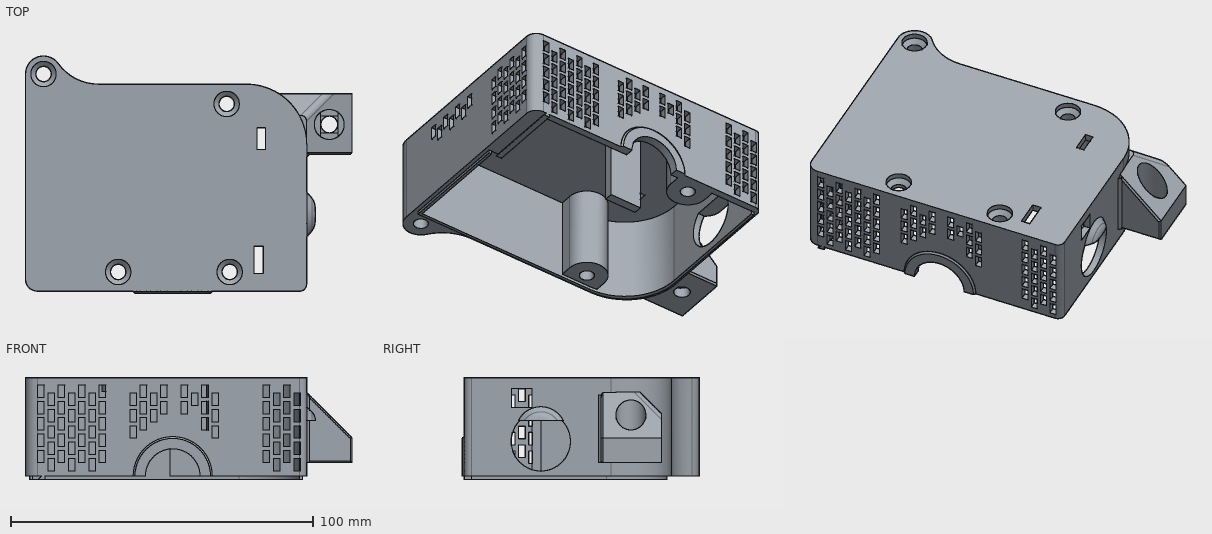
import cadquery as cq
import math

CASE_WIDTH = 93.1
CASE_DEPTH = 68.6
CASE_HEIGHT = 32.6
WALL = 2.4
FRONT_LEFT_RADIUS = 4.0
FRONT_RIGHT_RADIUS = 2.4
BACK_RIGHT_RADIUS = 20.0

EAR_RADIUS = 6.0
EAR_Y = 71.9
EAR_BLEND_X = 24.1

LIP_HEIGHT = 1.15
LIP_INSET = 1.4
LEFT_LIP_START = 27.0
RIB_RIGHT = 6.4
RIB_TOP_WIDTH = 1.1
RIB_SHELF_HEIGHT = 1.5

FRONT_LEFT_SCREW = (30.7, 6.4)
FRONT_RIGHT_SCREW = (67.6, 6.4)
BACK_SCREW = (66.6, 62.0)
EAR_SCREW = (EAR_RADIUS, EAR_Y)
SCREW_RADIUS = 2.5
HEAD_RADIUS = 4.2
HEAD_DEPTH = 1.8
CONE_ANGLE = 40
CONE_DEPTH = (HEAD_RADIUS - SCREW_RADIUS) * math.tan(math.radians(CONE_ANGLE))
POST_RADIUS = 7.0
BOSS_RADIUS = 5.4
BOSS_BOTTOM_Z = 28.0

TOP_SLOTS = [(78.05, 50.5, 2.7, 7.1), (77.2, 10.4, 3.0, 8.9)]

VENT_PITCH = 3.39
VENT_WIDTH = 2.15
VENT_HEIGHT = 4.1
FRONT_VENT_X = 5.15
FRONT_VENT_TOP_Z = 28.1
FRONT_ROW_PITCH = 5.4
FRONT_COLUMNS = {
    0: 5, 1: 5, 2: 5, 3: 5, 4: 5, 5: 5, 6: 5,
    9: 3, 10: 3, 11: 2, 12: 2, 14: 2, 15: 1, 16: 3, 17: 3,
    22: 5, 23: 5, 24: 5, 25: 5,
}
LEFT_VENT_Y = 5.6
LEFT_VENT_TOP_Z = 26.8
LEFT_ROW_PITCH = 6.18
LEFT_ODD_DROP = 2.0
LEFT_ROWS = 4
LEFT_FRONT_COLUMNS = range(0, 6)
LEFT_BACK_COLUMNS = range(9, 16)
LEFT_BACK_TOP_Z = 26.1
LEFT_BACK_DROP = 2.5
LEFT_BACK_HEIGHT = 4.8

ARCH_X = 48.75
ARCH_RADIUS = 9.05
COLLAR_RADIUS = 13.1
COLLAR_HEIGHT = 0.69
COLLAR_CHAMFER = 0.6

INNER_POST_X = 47.9
INNER_POST_Y = 22.5
INNER_POST_WIDTH = 12.0
INNER_POST_THICKNESS = 3.0

HOOD_Y = 25.4
HOOD_Z = 18.4
HOOD_AXIS_Z = 14.7
HOOD_BASE_RADIUS = 8.3
HOOD_LENGTH = 2.9
HOOD_CONE_LENGTH = 1.7
WINDOW_RADIUS = 9.8
WINDOW_Z = 11.5
SMALL_WINDOW_Y = (15.7, 22.4)
SMALL_WINDOW_Z = (22.8, 29.0)

BRACKET_END_X = 108.1
BRACKET_FRONT_Y = 45.3
BRACKET_BACK_Y = 65.4
BRACKET_BOTTOM_Z = 4.45
BRACKET_END_Z = 12.7
BRACKET_BACK_Z = 20.6
BRACKET_TOP_Z = 27.8
BRACKET_CHAMFER = 0.6
BRACKET_FLARE = 0.9
HIP_RADIUS = 2.7
BRACKET_ROOT_X = 74.0
BRACKET_HOLE = (100.55, 55.2)
BRACKET_HOLE_RADIUS = 2.75
BRACKET_BORE_RADIUS = 4.95
BRACKET_SEAT_Z = 9.0
BRIDGE_WIDTH = 5.66
BRIDGE_STEP = 0.3


def box(x_range, y_range, z_range):
    """Box spanning the given (low, high) ranges."""
    return cq.Workplane("XY").box(
        x_range[1] - x_range[0],
        y_range[1] - y_range[0],
        z_range[1] - z_range[0],
        centered=False,
    ).translate((x_range[0], y_range[0], z_range[0]))


def cylinder(center, radius, z_low, z_high):
    """Vertical cylinder about an (x, y) centre."""
    return (
        cq.Workplane("XY", origin=(center[0], center[1], z_low))
        .circle(radius)
        .extrude(z_high - z_low)
    )


def case_body():
    """Solid case, including the ear blended into the back edge."""
    ear_x = EAR_RADIUS
    rise = EAR_Y - CASE_DEPTH
    run = EAR_BLEND_X - ear_x
    blend_radius = (run**2 + rise**2 - EAR_RADIUS**2) / (2 * (EAR_RADIUS + rise))
    blend_y = CASE_DEPTH + blend_radius
    reach = EAR_RADIUS / (EAR_RADIUS + blend_radius)
    touch = (ear_x + run * reach, EAR_Y + (blend_y - EAR_Y) * reach)
    touch_angle = math.atan2(blend_y - EAR_Y, run)
    ear_middle_angle = (math.pi + touch_angle) / 2
    ear_middle = (
        ear_x + EAR_RADIUS * math.cos(ear_middle_angle),
        EAR_Y + EAR_RADIUS * math.sin(ear_middle_angle),
    )
    below_angle = 1.5 * math.pi
    blend_middle_angle = (math.pi + touch_angle + below_angle) / 2
    blend_middle = (
        EAR_BLEND_X + blend_radius * math.cos(blend_middle_angle),
        blend_y + blend_radius * math.sin(blend_middle_angle),
    )
    body = (
        cq.Workplane("XY")
        .moveTo(0, 0)
        .lineTo(CASE_WIDTH, 0)
        .lineTo(CASE_WIDTH, CASE_DEPTH)
        .lineTo(EAR_BLEND_X, CASE_DEPTH)
        .threePointArc(blend_middle, touch)
        .threePointArc(ear_middle, (0, EAR_Y))
        .close()
        .extrude(CASE_HEIGHT)
    )
    corners = [
        (0, 0, FRONT_LEFT_RADIUS),
        (CASE_WIDTH, 0, FRONT_RIGHT_RADIUS),
        (CASE_WIDTH, CASE_DEPTH, BACK_RIGHT_RADIUS),
    ]
    for x, y, radius in corners:
        corner = cq.selectors.NearestToPointSelector((x, y, CASE_HEIGHT / 2))
        body = body.edges(corner).fillet(radius)
    return body


def inset_block(inset, z_low, z_high):
    """Block following the case walls at a given inset, without the ear."""
    block = box((inset, CASE_WIDTH - inset), (inset, CASE_DEPTH - inset), (z_low, z_high))
    return block.edges("|Z and >X and >Y").fillet(BACK_RIGHT_RADIUS)


def lip():
    """Lip standing below the back, right and rear left walls."""
    ring = inset_block(LIP_INSET, -LIP_HEIGHT, WALL)
    ring = ring.cut(inset_block(WALL, -LIP_HEIGHT, WALL))
    ring = ring.cut(box((0, CASE_WIDTH), (0, WALL), (-LIP_HEIGHT, 0)))
    return ring.cut(box((0, CASE_WIDTH / 2), (0, LEFT_LIP_START), (-LIP_HEIGHT, 0)))


def snap_rib():
    """Rib with a 45 degree left flank, carried by a shelf on the left and front walls."""
    top_left = RIB_RIGHT - RIB_TOP_WIDTH
    rib = (
        cq.Workplane("XZ")
        .polyline([
            (top_left - LIP_HEIGHT, -LIP_HEIGHT),
            (RIB_RIGHT, -LIP_HEIGHT),
            (RIB_RIGHT, 0),
            (top_left, 0),
        ])
        .close()
        .extrude(-LEFT_LIP_START)
    )
    shelf = box((WALL / 2, RIB_RIGHT), (WALL / 2, LEFT_LIP_START), (0, RIB_SHELF_HEIGHT))
    return rib.union(shelf)


def screw_post(center, wall_y):
    """Full-height post joined by a web to the front or back wall, whose inner face is at wall_y."""
    x, y = center
    x_range = (x - POST_RADIUS, x + POST_RADIUS)
    post = cylinder(center, POST_RADIUS, 0, CASE_HEIGHT - WALL)
    post = post.intersect(box(x_range, (WALL, CASE_DEPTH - WALL), (0, CASE_HEIGHT)))
    return post.union(box(x_range, sorted((y, wall_y)), (0, CASE_HEIGHT - WALL)))


def screw_hole(center):
    """Through hole with a conical seat below a straight head recess."""
    seat_z = CASE_HEIGHT - HEAD_DEPTH
    profile = [
        (0, 0),
        (-SCREW_RADIUS, 0),
        (-SCREW_RADIUS, seat_z - CONE_DEPTH),
        (-HEAD_RADIUS, seat_z),
        (-HEAD_RADIUS, CASE_HEIGHT),
        (0, CASE_HEIGHT),
    ]
    hole = cq.Workplane("XZ").polyline(profile).close().revolve(360, (0, 0), (0, 1))
    return hole.translate((center[0], center[1], 0))


def front_vents():
    """Vent cutters for the front wall."""
    centers = []
    for column, count in FRONT_COLUMNS.items():
        drop = (column % 2) * FRONT_ROW_PITCH / 2
        for row in range(count):
            centers.append((
                FRONT_VENT_X + column * VENT_PITCH,
                FRONT_VENT_TOP_Z - drop - row * FRONT_ROW_PITCH,
            ))
    return cq.Workplane("XZ").pushPoints(centers).rect(VENT_WIDTH, VENT_HEIGHT).extrude(-WALL)


def left_vents(columns, rows, top_z, odd_drop, height):
    """Vent cutters for one group of columns in the left wall."""
    centers = []
    for step, column in enumerate(columns):
        for row in range(rows):
            centers.append((
                LEFT_VENT_Y + column * VENT_PITCH,
                top_z - (step % 2) * odd_drop - row * LEFT_ROW_PITCH,
            ))
    return cq.Workplane("YZ").pushPoints(centers).rect(VENT_WIDTH, height).extrude(WALL)


def collar():
    """Raised half ring around the cable entry."""
    disc = cq.Workplane("XZ").center(ARCH_X, 0).circle(COLLAR_RADIUS).extrude(COLLAR_HEIGHT)
    disc = disc.faces("<Y").edges().chamfer(COLLAR_CHAMFER)
    return disc.intersect(box((0, CASE_WIDTH), (-COLLAR_HEIGHT, 0), (0, CASE_HEIGHT)))


def hood():
    """45 degree cone with a rounded nose over the round window, flat underneath."""
    neck_radius = HOOD_BASE_RADIUS - HOOD_CONE_LENGTH
    diagonal = math.sqrt(0.5)
    nose_radius = (HOOD_LENGTH - HOOD_CONE_LENGTH) / (1 - diagonal)
    cone = (
        cq.Workplane("XZ")
        .moveTo(-WALL, 0)
        .lineTo(-WALL, HOOD_BASE_RADIUS)
        .lineTo(0, HOOD_BASE_RADIUS)
        .lineTo(HOOD_CONE_LENGTH, neck_radius)
        .tangentArcPoint((HOOD_LENGTH, neck_radius - diagonal * nose_radius), relative=False)
        .lineTo(HOOD_LENGTH, 0)
        .close()
        .revolve(360, (0, 0), (1, 0))
        .translate((CASE_WIDTH, HOOD_Y, HOOD_AXIS_Z))
    )
    above = box(
        (CASE_WIDTH - WALL, CASE_WIDTH + HOOD_LENGTH),
        (HOOD_Y - HOOD_BASE_RADIUS, HOOD_Y + HOOD_BASE_RADIUS),
        (HOOD_Z, CASE_HEIGHT),
    )
    return cone.intersect(above)


def right_windows():
    """Cutters for the round window below the hood and the small rectangular window."""
    wall_x = (CASE_WIDTH - WALL, CASE_WIDTH)
    window = (
        cq.Workplane("YZ", origin=(wall_x[0], HOOD_Y, WINDOW_Z))
        .circle(WINDOW_RADIUS)
        .extrude(WALL)
        .cut(box(wall_x, (0, CASE_DEPTH), (HOOD_Z, CASE_HEIGHT)))
    )
    return window.union(box(wall_x, SMALL_WINDOW_Y, SMALL_WINDOW_Z))


def bracket():
    """Wedge bracket sloping down to the right and to the back, with a stepped bolt seat."""
    top_x = BRACKET_END_X - (BRACKET_TOP_Z - BRACKET_END_Z)
    wedge = (
        cq.Workplane("XZ", origin=(0, BRACKET_BACK_Y, 0))
        .polyline([
            (BRACKET_ROOT_X, BRACKET_BOTTOM_Z),
            (BRACKET_END_X, BRACKET_BOTTOM_Z),
            (BRACKET_END_X, BRACKET_END_Z),
            (top_x, BRACKET_TOP_Z),
            (BRACKET_ROOT_X, BRACKET_TOP_Z),
        ])
        .close()
        .extrude(BRACKET_BACK_Y - BRACKET_FRONT_Y)
    )
    slope_run = BRACKET_TOP_Z - BRACKET_BACK_Z
    back_slope = (
        cq.Workplane("YZ", origin=(BRACKET_ROOT_X, 0, 0))
        .polyline([
            (BRACKET_BACK_Y, BRACKET_BACK_Z),
            (BRACKET_BACK_Y, BRACKET_TOP_Z),
            (BRACKET_BACK_Y - slope_run, BRACKET_TOP_Z),
        ])
        .close()
        .extrude(BRACKET_END_X - BRACKET_ROOT_X)
    )
    wedge = wedge.cut(back_slope)
    hip_x = BRACKET_END_X - (BRACKET_BACK_Z - BRACKET_END_Z) - slope_run / 2
    hip_point = (hip_x, BRACKET_BACK_Y - slope_run / 2, BRACKET_BACK_Z + slope_run / 2)
    wedge = wedge.edges(cq.selectors.NearestToPointSelector(hip_point)).fillet(HIP_RADIUS)
    wedge = wedge.faces("<Y").edges("not <X").chamfer(BRACKET_CHAMFER)

    flare = (
        cq.Workplane("XY", origin=(0, 0, BRACKET_BOTTOM_Z))
        .polyline([
            (CASE_WIDTH, BRACKET_FRONT_Y - BRACKET_FLARE),
            (CASE_WIDTH + BRACKET_FLARE, BRACKET_FRONT_Y),
            (CASE_WIDTH, BRACKET_FRONT_Y + BRACKET_FLARE),
        ])
        .close()
        .extrude(BRACKET_TOP_Z - BRACKET_FLARE - BRACKET_BOTTOM_Z)
    )
    return wedge.union(flare)


def bracket_bolt_hole():
    """Bolt hole whose seat steps down through a slot and a square."""
    x, y = BRACKET_HOLE
    half = BRIDGE_WIDTH / 2
    slot_z = BRACKET_SEAT_Z - BRIDGE_STEP
    square_z = slot_z - BRIDGE_STEP
    bore = cylinder(BRACKET_HOLE, BRACKET_BORE_RADIUS, BRACKET_SEAT_Z, BRACKET_TOP_Z)
    slot = cylinder(BRACKET_HOLE, BRACKET_BORE_RADIUS, slot_z, BRACKET_SEAT_Z).intersect(
        box(
            (x - half, x + half),
            (y - BRACKET_BORE_RADIUS, y + BRACKET_BORE_RADIUS),
            (slot_z, BRACKET_SEAT_Z),
        )
    )
    square = box((x - half, x + half), (y - half, y + half), (square_z, slot_z))
    hole = cylinder(BRACKET_HOLE, BRACKET_HOLE_RADIUS, BRACKET_BOTTOM_Z, square_z)
    return bore.union(slot).union(square).union(hole)


outer = case_body()
cavity = inset_block(WALL, 0, CASE_HEIGHT - WALL)
part = outer.union(bracket()).cut(bracket_bolt_hole())
part = part.cut(cavity).union(lip()).union(snap_rib())

part = part.cut(front_vents())
part = part.cut(left_vents(LEFT_FRONT_COLUMNS, LEFT_ROWS, LEFT_VENT_TOP_Z, LEFT_ODD_DROP, VENT_HEIGHT))
part = part.cut(left_vents(LEFT_BACK_COLUMNS, 1, LEFT_BACK_TOP_Z, LEFT_BACK_DROP, LEFT_BACK_HEIGHT))
part = part.cut(right_windows()).union(hood())

part = part.union(cylinder(FRONT_LEFT_SCREW, BOSS_RADIUS, BOSS_BOTTOM_Z, CASE_HEIGHT - WALL))
part = part.union(screw_post(FRONT_RIGHT_SCREW, WALL))
part = part.union(screw_post(BACK_SCREW, CASE_DEPTH - WALL))
part = part.union(
    box(
        (INNER_POST_X, INNER_POST_X + INNER_POST_WIDTH),
        (INNER_POST_Y, INNER_POST_Y + INNER_POST_THICKNESS),
        (0, CASE_HEIGHT),
    )
)

entry = (
    cq.Workplane("XZ", origin=(ARCH_X, WALL, 0))
    .circle(ARCH_RADIUS)
    .extrude(WALL + COLLAR_HEIGHT)
)
part = part.union(collar()).cut(entry)

for screw in (FRONT_LEFT_SCREW, FRONT_RIGHT_SCREW, BACK_SCREW, EAR_SCREW):
    part = part.cut(screw_hole(screw))
for x, y, width, length in TOP_SLOTS:
    slot = cq.Workplane("XY", origin=(x, y, CASE_HEIGHT - WALL)).rect(width, length).extrude(WALL)
    part = part.cut(slot)

result = part